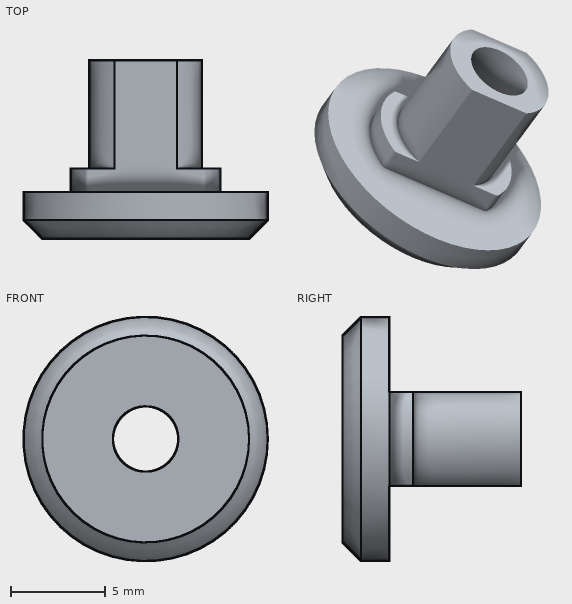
import cadquery as cq

flange_diameter = 13.0
flange_thickness = 2.5
flange_chamfer = 1.0

across_flats = 5.0
collar_diameter = 8.0
collar_length = 1.25
collar_corner_radius = 0.25
stem_diameter = 6.0
total_length = 9.5
stem_length = total_length - flange_thickness - collar_length

bore_diameter = 3.46


def cylinder_along_y(diameter, start, length):
    """Cylinder on the Y axis, from Y = start to Y = start + length."""
    base = cq.Workplane("XZ", origin=(0, start, 0))
    return base.circle(diameter / 2).extrude(-length)


def flatted_cylinder(diameter, start, length):
    """Cylinder on the Y axis, cut by two flats facing +Z and -Z."""
    slab = cq.Workplane("XY").box(diameter, length, across_flats)
    slab = slab.translate((0, start + length / 2, 0))
    return cylinder_along_y(diameter, start, length).intersect(slab)


flange = cylinder_along_y(flange_diameter, 0, flange_thickness)
flange = flange.faces("<Y").chamfer(flange_chamfer)

collar = flatted_cylinder(collar_diameter, flange_thickness, collar_length)
collar_corners = collar.faces("<Z or >Z").edges("|Y")
collar = collar_corners.fillet(collar_corner_radius)

stem = flatted_cylinder(stem_diameter, flange_thickness + collar_length, stem_length)

bore = cylinder_along_y(bore_diameter, 0, total_length)

result = flange.union(collar).union(stem).cut(bore).clean()